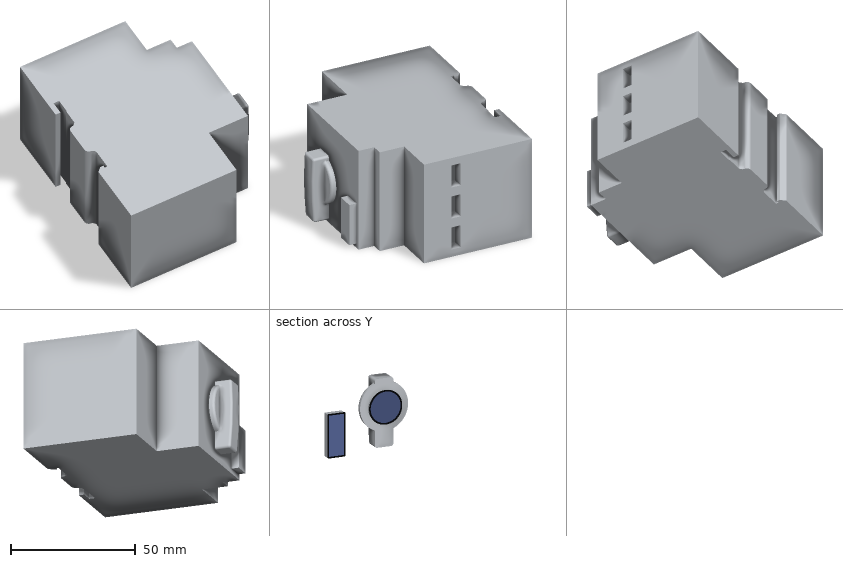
import cadquery as cq
import math


WIDTH = 89.9
HEIGHT = 44.7
SHOULDER_Y = 48.55
STEP_Y = 59.5
FACE_Y = 66.5
HEAD_HALF_WIDTH = 22.6
STEP_X = -27.5

RAIL_FLOOR_Y = 4.5
SLOT_FLOOR_Y = 4.8
SLOT_END_X = -21.7
SLOT_STEP_X = -15.5
LIP_TIP_X = -16.1
LIP_THICKNESS = 2.25
HOOK_RECESS_X = 17.8
HOOK_TIP_X = 16.6
HOOK_TOP_Y = 3.3
HOOK_CHAMFER = 1.9

RIB_HALF_WIDTH = 7.55
RIB_CREST_Y = 0.9
RIB_CREST_RADIUS = 2.0
RIB_ROOT_SIZE = RAIL_FLOOR_Y - RIB_CREST_Y - RIB_CREST_RADIUS
RIB_ROOT_RADIUS = 1.0

POCKET_COUNT = 3
POCKET_PITCH = 14.0
POCKET_WIDTH = 4.2
POCKET_HEIGHT = 10.0
POCKET_DEPTH = 5.0
POCKET_CENTER_Y = 34.2

BLOCK_WIDTH = 7.5
BLOCK_PROJECTION = 3.2
BLOCK_HEIGHT = 18.2
BLOCK_CENTER_X = -17.1
BLOCK_BOTTOM_Z = 2.0

KNOB_X = 4.5
KNOB_Z = 20.1
COLLAR_DIAMETER = 14.0
COLLAR_THICKNESS = 1.5
DISC_DIAMETER = 21.0
DISC_THICKNESS = 2.6
DISC_DOME_RADIUS = 161.8
GRIP_WIDTH = 8.1
GRIP_ABOVE_AXIS = 11.8
GRIP_BELOW_AXIS = 17.1
GRIP_CROWN_RADIUS = 161.8
TOTAL_DEPTH = 75.5
KNOB_ROUNDING = 1.0
GRIP_ROOT_RADIUS = 0.9
SELECTION_MARGIN = 0.1

KNOB_BASE_Y = FACE_Y + COLLAR_THICKNESS
GRIP_HEIGHT = TOTAL_DEPTH - KNOB_BASE_Y


def make_housing():
    """Stepped housing with a rail channel and a row of terminal pockets."""
    half_width = WIDTH / 2
    wall_y = RIB_CREST_Y + RIB_CREST_RADIUS
    crest_half_width = RIB_HALF_WIDTH - RIB_CREST_RADIUS
    root_half_width = RIB_HALF_WIDTH + RIB_ROOT_SIZE
    long_leg = RIB_ROOT_RADIUS * math.sin(math.pi / 4)
    short_leg = RIB_ROOT_RADIUS - long_leg
    slope_outer = (root_half_width - long_leg, RAIL_FLOOR_Y - short_leg)
    slope_inner = (RIB_HALF_WIDTH + short_leg, wall_y + long_leg)
    outline = (
        cq.Workplane("XY")
        .moveTo(-half_width, 0)
        .lineTo(LIP_TIP_X, 0)
        .lineTo(LIP_TIP_X, LIP_THICKNESS)
        .lineTo(SLOT_END_X, LIP_THICKNESS)
        .lineTo(SLOT_END_X, SLOT_FLOOR_Y)
        .lineTo(SLOT_STEP_X, SLOT_FLOOR_Y)
        .lineTo(SLOT_STEP_X, RAIL_FLOOR_Y)
        .lineTo(-root_half_width, RAIL_FLOOR_Y)
        .radiusArc((-slope_outer[0], slope_outer[1]), RIB_ROOT_RADIUS)
        .lineTo(-slope_inner[0], slope_inner[1])
        .radiusArc((-RIB_HALF_WIDTH, wall_y), RIB_ROOT_RADIUS)
        .radiusArc((-crest_half_width, RIB_CREST_Y), -RIB_CREST_RADIUS)
        .lineTo(crest_half_width, RIB_CREST_Y)
        .radiusArc((RIB_HALF_WIDTH, wall_y), -RIB_CREST_RADIUS)
        .radiusArc(slope_inner, RIB_ROOT_RADIUS)
        .lineTo(*slope_outer)
        .radiusArc((root_half_width, RAIL_FLOOR_Y), RIB_ROOT_RADIUS)
        .lineTo(HOOK_RECESS_X, RAIL_FLOOR_Y)
        .lineTo(HOOK_RECESS_X, HOOK_TOP_Y)
        .lineTo(HOOK_TIP_X, HOOK_TOP_Y)
        .lineTo(HOOK_TIP_X, HOOK_CHAMFER)
        .lineTo(HOOK_TIP_X + HOOK_CHAMFER, 0)
        .lineTo(half_width, 0)
        .lineTo(half_width, SHOULDER_Y)
        .lineTo(HEAD_HALF_WIDTH, SHOULDER_Y)
        .lineTo(HEAD_HALF_WIDTH, FACE_Y)
        .lineTo(-HEAD_HALF_WIDTH, FACE_Y)
        .lineTo(-HEAD_HALF_WIDTH, STEP_Y)
        .lineTo(STEP_X, STEP_Y)
        .lineTo(STEP_X, SHOULDER_Y)
        .lineTo(-half_width, SHOULDER_Y)
        .close()
    )
    housing = outline.extrude(HEIGHT)
    for index in range(POCKET_COUNT):
        center_z = HEIGHT / 2 + (index - (POCKET_COUNT - 1) / 2) * POCKET_PITCH
        pocket = cq.Workplane("XY").box(
            POCKET_DEPTH, POCKET_WIDTH, POCKET_HEIGHT, centered=(False, True, True)
        )
        housing = housing.cut(pocket.translate((-half_width, POCKET_CENTER_Y, center_z)))
    return housing


def make_block():
    """Plain rectangular block standing on the front face."""
    block = cq.Workplane("XY").box(
        BLOCK_WIDTH, BLOCK_PROJECTION, BLOCK_HEIGHT, centered=(True, False, False)
    )
    return block.translate((BLOCK_CENTER_X, FACE_Y, BLOCK_BOTTOM_Z))


def make_disc(diameter, thickness, base_y):
    """Round disc on the knob axis, growing toward +Y from base_y."""
    axis_plane = cq.Plane(origin=(KNOB_X, base_y, KNOB_Z), xDir=(1, 0, 0), normal=(0, 1, 0))
    return cq.Workplane(axis_plane).circle(diameter / 2).extrude(thickness)


def make_grip():
    """Bar handle with a crowned outer face and rounded edges."""
    bar = cq.Workplane("XY").box(
        GRIP_WIDTH, GRIP_HEIGHT, GRIP_ABOVE_AXIS + GRIP_BELOW_AXIS, centered=(True, False, False)
    )
    bar = bar.translate((KNOB_X, KNOB_BASE_Y, KNOB_Z - GRIP_BELOW_AXIS))
    crown = (
        cq.Workplane("YZ")
        .center(TOTAL_DEPTH - GRIP_CROWN_RADIUS, KNOB_Z)
        .circle(GRIP_CROWN_RADIUS)
        .extrude(WIDTH, both=True)
    )
    bar = bar.intersect(crown)
    return bar.edges("|Y").fillet(KNOB_ROUNDING).faces(">Y").edges().fillet(KNOB_ROUNDING)


def make_knob():
    """Domed disc with a rounded rim, blended into the grip that crosses it."""
    disc_top_y = KNOB_BASE_Y + DISC_THICKNESS
    dome_center_y = disc_top_y - DISC_DOME_RADIUS
    dome = cq.Workplane("XY").sphere(DISC_DOME_RADIUS).translate((KNOB_X, dome_center_y, KNOB_Z))
    disc = make_disc(DISC_DIAMETER, DISC_THICKNESS, KNOB_BASE_Y).intersect(dome)
    disc = disc.faces(">Y").edges().fillet(KNOB_ROUNDING)
    grip = make_grip()

    rim_top_y = dome_center_y + math.sqrt(
        (DISC_DOME_RADIUS - KNOB_ROUNDING) ** 2 - (DISC_DIAMETER / 2 - KNOB_ROUNDING) ** 2
    )
    blended = disc.union(grip)
    for side in (-1, 1):
        flank_x = KNOB_X + side * GRIP_WIDTH / 2
        root_edges = cq.selectors.BoxSelector(
            (flank_x - SELECTION_MARGIN, rim_top_y + SELECTION_MARGIN, KNOB_Z - DISC_DIAMETER),
            (flank_x + SELECTION_MARGIN, disc_top_y + SELECTION_MARGIN, KNOB_Z + DISC_DIAMETER),
        )
        blended = blended.edges(root_edges).fillet(GRIP_ROOT_RADIUS)

    upper = blended.intersect(make_disc(2 * DISC_DIAMETER, GRIP_HEIGHT, rim_top_y))
    lower = make_disc(DISC_DIAMETER, rim_top_y - KNOB_BASE_Y, KNOB_BASE_Y)
    return upper.union(lower).union(grip)


housing = make_housing()
block = make_block()
collar = make_disc(COLLAR_DIAMETER, COLLAR_THICKNESS, FACE_Y)
knob = make_knob()

bodies = [housing, block, collar, knob]
result = cq.Compound.makeCompound([body.solids().val() for body in bodies])